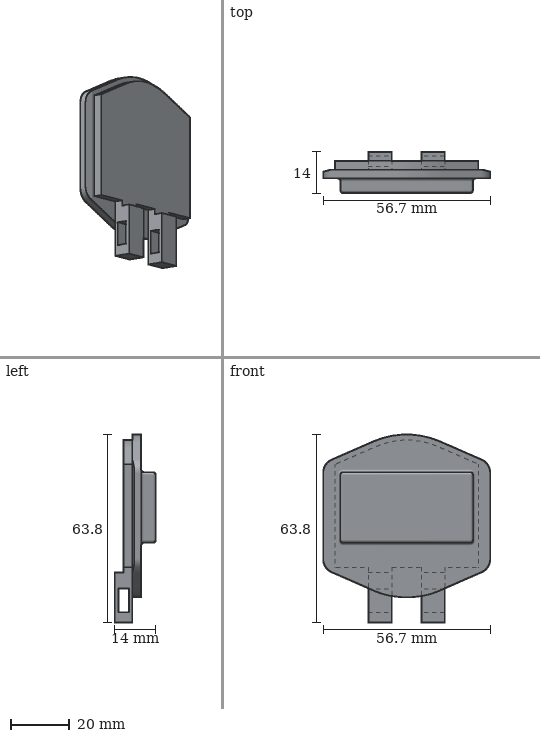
import cadquery as cq
import math

total_height = 63.8
layer_thickness = 3.0

flange_height = 55.3
flange_width = 56.7
flange_half_width = flange_width / 2
crown_radius = 28.0
corner_radius = 5.0
slope_angle = math.radians(23.6)
centre_z = total_height - flange_height / 2

relief_width = 2.6
relief_angle = math.radians(15)
relief_depth = relief_width * math.tan(relief_angle)

plate_inset = 1.85
plate_half_width = 24.3
plate_bottom = 18.8

boss_width = 45.0
boss_height = 24.0
boss_depth = 5.0
boss_rise = 2.9
boss_fillet = 0.95

lug_width = 8.0
lug_gap = 10.0
lug_height = 17.05
lug_depth = 2 * layer_thickness
slot_height = 7.9
slot_depth = 3.5
slot_bottom = 3.6
slot_front_wall = 1.15

flange_back = layer_thickness


def box(x_size, y_size, z_size, x_centre, y_start, z_start):
    """Box centred on x_centre that grows from y_start and z_start."""
    block = cq.Workplane("XY").box(x_size, y_size, z_size, centered=(True, False, False))
    return block.translate((x_centre, y_start, z_start))


def shield(half_width, half_height, radius, y_start):
    """Hexagon with arc crowns tangent to the flanks, one layer thick."""
    tangent_x = radius * math.sin(slope_angle)
    tangent_z = half_height - radius * (1 - math.cos(slope_angle))
    shoulder_z = tangent_z - (half_width - tangent_x) * math.tan(slope_angle)
    return (
        cq.Workplane("XZ", origin=(0, y_start, centre_z))
        .moveTo(half_width, -shoulder_z)
        .lineTo(half_width, shoulder_z)
        .lineTo(tangent_x, tangent_z)
        .threePointArc((0, half_height), (-tangent_x, tangent_z))
        .lineTo(-half_width, shoulder_z)
        .lineTo(-half_width, -shoulder_z)
        .lineTo(-tangent_x, -tangent_z)
        .threePointArc((0, -half_height), (tangent_x, -tangent_z))
        .close()
        .extrude(-layer_thickness)
    )


def edge_relief(side):
    """Wedge behind the left (-1) or right (+1) edge of the flange."""
    outer_x = side * flange_half_width
    inner_x = side * (flange_half_width - relief_width)
    return (
        cq.Workplane("XY")
        .moveTo(inner_x, flange_back)
        .lineTo(outer_x, flange_back)
        .lineTo(outer_x, flange_back - relief_depth)
        .close()
        .extrude(total_height)
    )


flange = shield(flange_half_width, flange_height / 2, crown_radius, 0)
flange = flange.edges("|Y and (<X or >X)").fillet(corner_radius)
for side in (-1, 1):
    flange = flange.cut(edge_relief(side))

boss_bottom = centre_z + boss_rise - boss_height / 2
boss = box(boss_width, boss_depth, boss_height, 0, -boss_depth, boss_bottom)
boss = boss.edges("|Y").fillet(boss_fillet)
boss = boss.faces("<Y").edges().fillet(boss_fillet)
front = flange.union(boss)
foot_reach = boss_fillet / 2
foot_region = cq.selectors.BoxSelector(
    (-boss_width / 2 - foot_reach, -foot_reach, boss_bottom - foot_reach),
    (boss_width / 2 + foot_reach, foot_reach, boss_bottom + boss_height + foot_reach),
)
front = front.edges(foot_region).fillet(boss_fillet)

plate = shield(
    plate_half_width,
    flange_height / 2 - plate_inset,
    crown_radius - plate_inset,
    flange_back,
)
plate = plate.cut(box(2 * plate_half_width, layer_thickness, plate_bottom, 0, flange_back, 0))

lug_centre = (lug_gap + lug_width) / 2
rear = plate
for side in (-1, 1):
    lug_x = side * lug_centre
    lug = box(lug_width, lug_depth, lug_height, lug_x, flange_back, 0)
    root = box(lug_width, layer_thickness, plate_bottom, lug_x, flange_back, 0)
    slot = box(lug_width, slot_depth, slot_height, lug_x, flange_back + slot_front_wall, slot_bottom)
    rear = rear.union(lug.union(root).cut(slot))

result = front.union(rear)